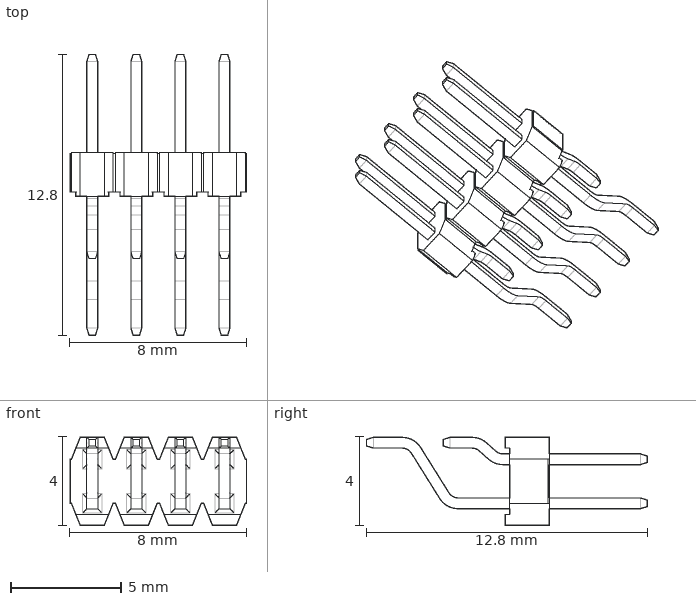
import cadquery as cq
import math


columns = 4
pitch = 2.0
row_height = pitch / 2
column_centers = [(i - (columns - 1) / 2) * pitch for i in range(columns)]

body_length = columns * pitch
body_height = 2 * pitch
body_depth = 2.0
lip_overhang = 0.2
lip_height = 0.5
front_face = body_depth - lip_overhang
block_gap = 0.1
block_width = pitch - block_gap
block_top_width = 1.1
web_height = pitch
web_setback = 0.05

pin_width = 0.5
tip_width = 0.3
tip_length = 0.32
tip_angle = math.degrees(math.atan((pin_width - tip_width) / 2 / tip_length))
inner_bend_radius = 0.5
outer_bend_radius = inner_bend_radius + pin_width
pin_back_end = -4.45
landing_height = body_height / 2 - pin_width / 2
upper_bend_angle = math.radians(42)
upper_bend_start = 2.1
upper_front_end = 4.82
lower_bend_angle = math.radians(58)
lower_bend_start = 4.13
lower_front_end = 8.3

pocket_radius = 0.19
pocket_width = pin_width + 2 * pocket_radius


def plane_facing_front(x, depth, z):
    """Workplane whose normal points to the front (-Y)."""
    return cq.Workplane("XZ", origin=(x, -depth, z))


def plane_facing_back(x, depth, z):
    """Workplane whose normal points to the back (+Y)."""
    return cq.Workplane(cq.Plane(origin=(x, -depth, z), xDir=(1, 0, 0), normal=(0, 1, 0)))


def side_plane(x):
    """Workplane with depth along its first axis, Z along its second and normal -X."""
    return cq.Workplane(cq.Plane(origin=(x, 0, 0), xDir=(0, -1, 0), normal=(-1, 0, 0)))


def make_block(x):
    """One eight-sided block, with a lip over the front face at its top and bottom."""
    half_top = block_top_width / 2
    half_width = block_width / 2
    half_height = body_height / 2
    half_web = web_height / 2
    block = (
        plane_facing_front(x, 0, 0)
        .polyline([
            (-half_top, half_height),
            (half_top, half_height),
            (half_width, half_web),
            (half_width, -half_web),
            (half_top, -half_height),
            (-half_top, -half_height),
            (-half_width, -half_web),
            (-half_width, half_web),
        ])
        .close()
        .extrude(body_depth)
    )
    recess = (
        plane_facing_front(x, front_face, 0)
        .rect(pitch, body_height - 2 * lip_height)
        .extrude(lip_overhang)
    )
    return block.cut(recess)


def make_web():
    """Full-length bar joining the blocks, set back slightly from the back face."""
    return (
        plane_facing_front(0, web_setback, 0)
        .rect(body_length, web_height)
        .extrude(front_face - web_setback)
    )


def flare_outline(plane):
    """Pocket section on a plane centred on the pin: convex arcs from the front face to the pin."""
    half_opening = pocket_width / 2
    half_pin = pin_width / 2
    pocket_floor = front_face - pocket_radius
    return (
        plane
        .moveTo(-half_opening, -front_face)
        .lineTo(half_opening, -front_face)
        .radiusArc((half_pin, -pocket_floor), pocket_radius)
        .lineTo(-half_pin, -pocket_floor)
        .radiusArc((-half_opening, -front_face), pocket_radius)
        .close()
    )


def make_pocket(x, z):
    """Square recess with rounded-over walls that curve in from the front face to the pin."""
    half_opening = pocket_width / 2
    across = cq.Workplane("XY", origin=(x, 0, z))
    upright = cq.Workplane(cq.Plane(origin=(x, 0, z), xDir=(0, 0, -1), normal=(1, 0, 0)))
    width_flare = flare_outline(across).extrude(half_opening, both=True)
    height_flare = flare_outline(upright).extrude(half_opening, both=True)
    return width_flare.intersect(height_flare)


def make_pin(x, z, bend_start, bend_angle, front_end):
    """Square pin that leaves the body at height z and bends up to the landing height."""
    half_pin = pin_width / 2
    sine = math.sin(bend_angle)
    cosine = math.cos(bend_angle)

    mean_radius = inner_bend_radius + half_pin
    bend_rise = mean_radius * (1 - cosine)
    slope_rise = landing_height - z - 2 * bend_rise
    bend_end = bend_start + 2 * mean_radius * sine + slope_rise / math.tan(bend_angle)

    shaft_back = pin_back_end + tip_length
    shaft_front = front_end - tip_length
    inner_run = inner_bend_radius * sine
    inner_rise = inner_bend_radius * (1 - cosine)
    outer_run = outer_bend_radius * sine
    outer_rise = outer_bend_radius * (1 - cosine)
    low_bottom = z - half_pin
    low_top = z + half_pin
    high_bottom = landing_height - half_pin
    high_top = landing_height + half_pin

    shaft = (
        side_plane(x + half_pin)
        .moveTo(shaft_back, low_bottom)
        .lineTo(bend_start, low_bottom)
        .radiusArc((bend_start + outer_run, low_bottom + outer_rise), -outer_bend_radius)
        .lineTo(bend_end - inner_run, high_bottom - inner_rise)
        .radiusArc((bend_end, high_bottom), inner_bend_radius)
        .lineTo(shaft_front, high_bottom)
        .lineTo(shaft_front, high_top)
        .lineTo(bend_end, high_top)
        .radiusArc((bend_end - outer_run, high_top - outer_rise), -outer_bend_radius)
        .lineTo(bend_start + inner_run, low_top + inner_rise)
        .radiusArc((bend_start, low_top), inner_bend_radius)
        .lineTo(shaft_back, low_top)
        .close()
        .extrude(pin_width)
    )
    back_tip = (
        plane_facing_back(x, shaft_back, z)
        .rect(pin_width, pin_width)
        .extrude(tip_length, taper=tip_angle)
    )
    front_tip = (
        plane_facing_front(x, shaft_front, landing_height)
        .rect(pin_width, pin_width)
        .extrude(tip_length, taper=tip_angle)
    )
    return shaft.union(back_tip).union(front_tip)


body = make_web()
for column_x in column_centers:
    body = body.union(make_block(column_x))
for column_x in column_centers:
    for row_z in (row_height, -row_height):
        body = body.cut(make_pocket(column_x, row_z))

result = body
for column_x in column_centers:
    upper_pin = make_pin(column_x, row_height, upper_bend_start, upper_bend_angle, upper_front_end)
    lower_pin = make_pin(column_x, -row_height, lower_bend_start, lower_bend_angle, lower_front_end)
    result = result.union(upper_pin).union(lower_pin)